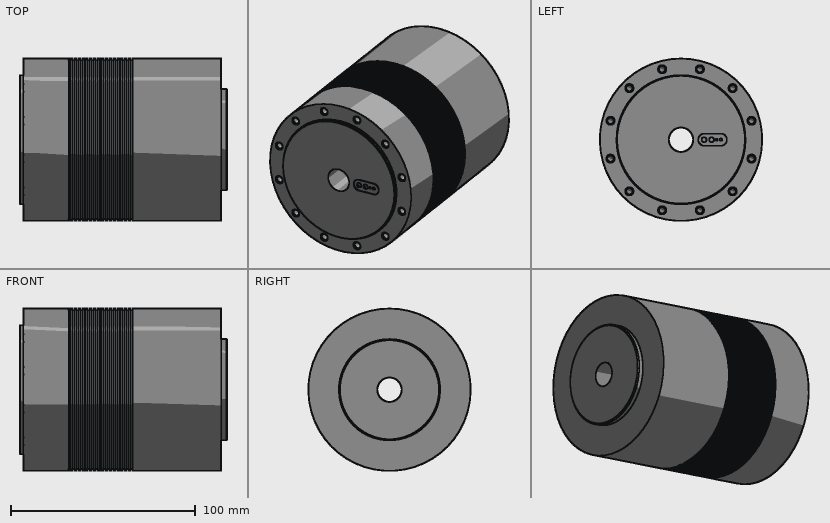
import cadquery as cq
import math

total_length = 112.5
housing_radius = 44.0

face_disc_radius = 35.0
face_disc_height = 2.0
face_disc_chamfer = 0.5

rear_boss_radius = 27.5
rear_boss_height = 3.4
rear_boss_chamfer = 0.7

bore_radius = 6.5

groove_count = 17
groove_span = 33.6
groove_width = 1.0
groove_clearance = 1.1
groove_depth = 0.96
first_groove_x = 27.0

screw_count = 12
screw_circle_radius = 39.5
screw_hole_radius = 1.7
screw_mouth_radius = 2.2
screw_hole_depth = 11.2
drill_tip_angle = 118.0

plug_length = 15.5
plug_width = 6.5
plug_center_y = -17.1
plug_thickness = 0.9
plug_recess = 0.3
plug_holes = [(-12.5, 1.4), (-16.5, 1.4), (-19.4, 0.6), (-21.6, 0.7)]

flange_x = face_disc_height
rear_face_x = total_length - rear_boss_height
pocket_depth = plug_recess + plug_thickness
groove_pitch = groove_span / (groove_count - 1)


def x_cylinder(radius, start_x, length, y=0.0):
    """Cylinder along +X from start_x, centred on Z = 0."""
    solid = cq.Solid.makeCylinder(radius, length, cq.Vector(start_x, y, 0), cq.Vector(1, 0, 0))
    return cq.Workplane(obj=solid)


def plug_prism(start_x, end_x):
    """Round-ended prism along X with the plug's outline."""
    return (
        cq.Workplane("YZ", origin=(start_x, plug_center_y, 0))
        .slot2D(plug_length, plug_width)
        .extrude(end_x - start_x)
    )


def screw_hole_cutter():
    """Countersunk blind hole with a conical drill tip, on the X axis at the flange face."""
    countersink_depth = screw_mouth_radius - screw_hole_radius
    tip_length = screw_hole_radius / math.tan(math.radians(drill_tip_angle / 2))
    return (
        cq.Workplane("XY")
        .moveTo(flange_x, 0)
        .lineTo(flange_x, screw_mouth_radius)
        .lineTo(flange_x + countersink_depth, screw_hole_radius)
        .lineTo(flange_x + screw_hole_depth, screw_hole_radius)
        .lineTo(flange_x + screw_hole_depth + tip_length, 0)
        .close()
        .revolve(360, (0, 0, 0), (1, 0, 0))
    )


def make_housing():
    face_disc = x_cylinder(face_disc_radius, 0, face_disc_height).faces("<X").chamfer(face_disc_chamfer)
    barrel = x_cylinder(housing_radius, flange_x, rear_face_x - flange_x)
    rear_boss = x_cylinder(rear_boss_radius, rear_face_x, rear_boss_height)
    rear_boss = rear_boss.faces(">X").chamfer(rear_boss_chamfer)
    housing = barrel.union(face_disc).union(rear_boss)

    housing = housing.cut(x_cylinder(bore_radius, 0, total_length))

    for i in range(groove_count):
        start_x = first_groove_x + i * groove_pitch - groove_width / 2
        ring = x_cylinder(housing_radius + groove_clearance, start_x, groove_width)
        core = x_cylinder(housing_radius - groove_depth, start_x, groove_width)
        housing = housing.cut(ring.cut(core))

    screw_hole = screw_hole_cutter().translate((0, 0, screw_circle_radius))
    step = 360 / screw_count
    for i in range(screw_count):
        housing = housing.cut(screw_hole.rotate((0, 0, 0), (1, 0, 0), (i + 0.5) * step))

    return housing.cut(plug_prism(0, pocket_depth))


def make_plug():
    plug = plug_prism(plug_recess, pocket_depth)
    for y, radius in plug_holes:
        plug = plug.cut(x_cylinder(radius, 0, pocket_depth, y))
    return plug


housing = make_housing()
plug = make_plug()

result = cq.Compound.makeCompound([housing.val(), plug.val()])